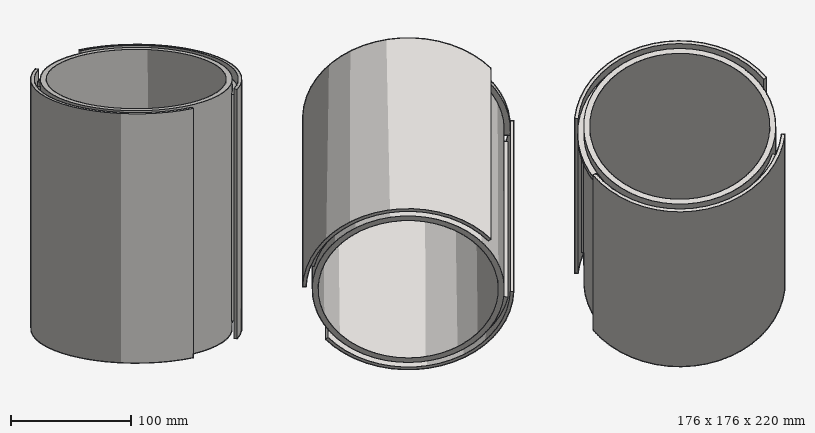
import cadquery as cq
import math

bore_radius = 75.0
tube_wall = 5.0
pad_thickness = 5.0
panel_thickness = 3.0
tube_radius = bore_radius + tube_wall
pad_radius = tube_radius + pad_thickness
panel_radius = pad_radius + panel_thickness

height = 220.0
pad_inset = 10.0
pad_top = height - pad_inset
strip_height = 5.0

pair_centers = (120.0, 300.0)
panel_span = 140.0
pad_span = 120.0
strip_start = pair_centers[0] + pad_span / 2
strip_end = 232.5


def polar(radius, angle):
    """Point on a circle about the tube axis."""
    turn = math.radians(angle)
    return radius * math.cos(turn), radius * math.sin(turn)


def curved_plate(inner_radius, outer_radius, start, end, bottom, top):
    """Ring sector between two angles and two heights, with radial end faces."""
    middle = (start + end) / 2
    return (
        cq.Workplane("XY")
        .workplane(offset=bottom)
        .moveTo(*polar(inner_radius, start))
        .lineTo(*polar(outer_radius, start))
        .threePointArc(polar(outer_radius, middle), polar(outer_radius, end))
        .lineTo(*polar(inner_radius, end))
        .threePointArc(polar(inner_radius, middle), polar(inner_radius, start))
        .close()
        .extrude(top - bottom)
    )


def centered_plate(inner_radius, outer_radius, center, span, bottom, top):
    """Ring sector that spreads evenly to both sides of its center angle."""
    half_span = span / 2
    return curved_plate(inner_radius, outer_radius, center - half_span, center + half_span, bottom, top)


result = cq.Workplane("XY").circle(tube_radius).circle(bore_radius).extrude(height)

for center in pair_centers:
    pad = centered_plate(tube_radius, pad_radius, center, pad_span, pad_inset, pad_top)
    panel = centered_plate(pad_radius, panel_radius, center, panel_span, 0, height)
    result = result.union(pad).union(panel)

strip = curved_plate(
    tube_radius, pad_radius, strip_start, strip_end, pad_top - strip_height, pad_top
)
result = result.union(strip)